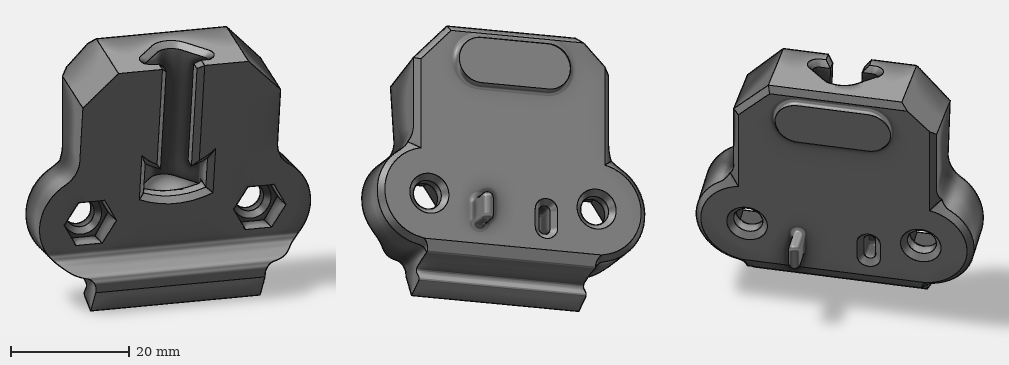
import cadquery as cq
import math

overall_width = 48.0
overall_height = 45.6
screw_spacing = 30.0
lobe_radius = (overall_width - screw_spacing) / 2
screw_y = screw_spacing / 2
chamfer = 1.0
chamfer_angle = 45

body_half_width = 17.5
body_fillet = 5.0
hook_fillet = 2.0
corner_cut = 6.0

lean = math.radians(10)
top_z = 30.0
front_x = 13.8
front_top_z = top_z - (front_x - chamfer) * math.tan(lean)
hook_round = 2.0
hook_small_round = 0.5

screw_bore = 5.0
nut_seat_x = 4.0
nut_width = 8.0

key_y = 6.0
key_z = -2.5
key_radius = 1.0
key_half_span = 1.5
key_length = 5.0

pad_z = 24.0
pad_radius = 4.0
pad_half_span = 6.0

pocket_wall = 3.0
ear_y = 4.5
ear_radius = 1.0
ear_back = pocket_wall + ear_radius
nose_back = 6.0
nose_radius = 3.0
slot_half_width = 2.75
window_center = 10.0
window_top_radius = 10.0
window_floor_radius = 15.0
window_half_width = ear_y + ear_radius

reach = 28.8
edge_search = 0.25


def down_front(z):
    """X of the leaning front plane at height z."""
    return front_x - (front_top_z - z) * math.tan(lean)


def both_sides(solid):
    """The solid together with its mirror image across the middle plane Y = 0."""
    return solid.union(solid.mirror("XZ"))


hook_root_z = -6.6
hook_root = (down_front(hook_root_z), hook_root_z)
hook_shoulder = (12.5, -8.75)
hook_heel = (12.0, -11.45)
hook_point = (9.1, top_z - overall_height)
hook_lip = (5.0, -13.75)
hook_notch = (7.05, -11.65)
underside_middle = (4.1, -10.7)
under_edge = (0.95, -10.15)

side_profile = (
    cq.Workplane("XZ")
    .moveTo(0, chamfer - lobe_radius)
    .lineTo(0, top_z - chamfer)
    .lineTo(chamfer, top_z)
    .lineTo(front_x, front_top_z)
    .lineTo(*hook_root)
    .lineTo(*hook_shoulder)
    .lineTo(*hook_heel)
    .lineTo(*hook_point)
    .lineTo(*hook_lip)
    .lineTo(*hook_notch)
    .threePointArc(underside_middle, under_edge)
    .close()
    .extrude(overall_width / 2, both=True)
)


def round_corner(solid, point, radius):
    """Round the edge along Y that passes through an (X, Z) point of the side profile."""
    x, z = point
    near = cq.selectors.BoxSelector(
        (x - edge_search, -reach, z - edge_search),
        (x + edge_search, reach, z + edge_search),
    )
    return solid.edges("|Y").edges(near).fillet(radius)


for corner_point in (hook_root, hook_shoulder):
    side_profile = round_corner(side_profile, corner_point, hook_round)
for corner_point in (hook_lip, hook_notch, under_edge):
    side_profile = round_corner(side_profile, corner_point, hook_small_round)


def chamfered_block(depth):
    """Block whose back side edges are cut at 45 degrees over the given depth."""
    inset = body_half_width - chamfer
    return (
        cq.Workplane("XY")
        .polyline([(0, -inset), (0, inset), (depth, inset + depth), (depth + reach, inset + depth),
                   (depth + reach, -inset - depth), (depth, -inset - depth)])
        .close()
        .extrude(top_z)
    )


def coned_lobe(depth):
    """Round lobe whose back edge is cut at 45 degrees over the given depth."""
    inset = lobe_radius - chamfer
    return (
        cq.Workplane("XY")
        .polyline([(0, 0), (0, inset), (depth, inset + depth),
                   (depth + reach, inset + depth), (depth + reach, 0)])
        .close()
        .revolve(360, (0, 0), (1, 0))
        .translate((0, screw_y, 0))
    )


def blend_center(wall_y, radius):
    """(Y, Z) center of the arc touching a wall at wall_y and the lobe above it."""
    center_y = wall_y + radius
    return center_y, math.sqrt((lobe_radius + radius) ** 2 - (center_y - screw_y) ** 2)


def web(wall_y, radius, up):
    """Concave blend between a wall at wall_y and the lobe, above it (up=1) or below (up=-1)."""
    center_y, center_z = blend_center(wall_y, radius)
    lobe_angle = math.atan2(center_z, center_y - screw_y) + math.pi
    middle_angle = (math.pi + lobe_angle) / 2

    def on_blend(angle):
        return (center_y + radius * math.cos(angle), up * (center_z + radius * math.sin(angle)))

    return (
        cq.Workplane("YZ")
        .moveTo(*on_blend(math.pi))
        .threePointArc(on_blend(middle_angle), on_blend(lobe_angle))
        .lineTo(screw_y, 0)
        .close()
        .extrude(reach)
    )


upper_web = web(body_half_width, body_fillet, 1)
upper_web = upper_web.intersect(chamfered_block(reach)).union(upper_web.intersect(coned_lobe(reach)))
hook_block = cq.Workplane("XY").box(reach, screw_spacing, reach, centered=(False, True, False))
hook_block = hook_block.translate((0, 0, -reach))

outline = (
    chamfered_block(chamfer)
    .union(hook_block)
    .union(both_sides(coned_lobe(chamfer)))
    .union(both_sides(upper_web))
    .union(both_sides(web(screw_y, hook_fillet, -1)))
)
body = outline.intersect(side_profile)

hook_blend_y, hook_blend_z = blend_center(screw_y, hook_fillet)
hook_blend_chamfer = (
    cq.Workplane("YZ")
    .center(hook_blend_y, -hook_blend_z)
    .circle(hook_fillet + chamfer)
    .extrude(chamfer, taper=chamfer_angle)
)
body = body.cut(both_sides(hook_blend_chamfer))


front_edge = (front_x, 0, front_top_z)
backward = (-math.cos(lean), 0, math.sin(lean))
downward = (-math.sin(lean), 0, -math.cos(lean))
front_plane = cq.Plane(origin=front_edge, xDir=downward, normal=backward)
top_plane = cq.Plane(origin=front_edge, xDir=backward, normal=downward)

corner = (
    cq.Workplane(front_plane)
    .polyline([(0, body_half_width - corner_cut), (corner_cut, body_half_width),
               (-corner_cut, body_half_width)])
    .close()
    .extrude(reach)
)
body = body.cut(both_sides(corner))

slope_foot_z = top_z - corner_cut / math.cos(lean)
slope_run = math.hypot(corner_cut, top_z - slope_foot_z)
slope_start = (chamfer, body_half_width - corner_cut, top_z)
slope_chamfer = (
    cq.Workplane(cq.Plane(origin=slope_start, xDir=(1, 0, 0),
                          normal=(0, corner_cut, slope_foot_z - top_z)))
    .polyline([(0, 0), (-2 * chamfer, 2 * chamfer), (-2 * chamfer, -2 * chamfer)])
    .close()
    .extrude(slope_run * 2, both=True)
)
body = body.cut(slope_chamfer)


def slot_outline(plane, length, grow):
    """Slot from above the body down to a given length along the plane."""
    half_slot = slot_half_width + grow
    return cq.Workplane(plane).moveTo((length - reach) / 2, 0).rect(length + reach, 2 * half_slot)


def pocket_outline(grow):
    """Pocket in the top face, as (distance behind the front plane, Y)."""
    wall = pocket_wall - grow
    ear = ear_radius + grow
    nose = nose_radius + grow
    span = math.hypot(nose_back - ear_back, ear_y)
    touch = math.acos((ear - nose) / span) - math.atan2(ear_y, nose_back - ear_back)

    def on_ear(angle):
        return (ear_back + ear * math.cos(angle), ear_y + ear * math.sin(angle))

    def mirrored(point):
        return (point[0], -point[1])

    ear_middle = on_ear((math.pi + touch) / 2)
    ear_end = on_ear(touch)
    nose_start = (nose_back + nose * math.cos(touch), nose * math.sin(touch))
    return (
        cq.Workplane(top_plane)
        .moveTo(wall, ear_y)
        .threePointArc(ear_middle, ear_end)
        .lineTo(*nose_start)
        .threePointArc((nose_back + nose, 0), mirrored(nose_start))
        .lineTo(*mirrored(ear_end))
        .threePointArc(mirrored(ear_middle), (wall, -ear_y))
        .close()
    )


def window_outline(grow):
    """Ring segment at the foot of the slot, as (distance down the front plane, Y)."""
    half_width = window_half_width + grow
    top_radius = window_top_radius - grow
    floor_radius = window_floor_radius + grow
    top_corner = window_center + math.sqrt(top_radius ** 2 - half_width ** 2)
    floor_corner = window_center + math.sqrt(floor_radius ** 2 - half_width ** 2)
    return (
        cq.Workplane(front_plane)
        .moveTo(top_corner, half_width)
        .lineTo(floor_corner, half_width)
        .threePointArc((window_center + floor_radius, 0), (floor_corner, -half_width))
        .lineTo(top_corner, -half_width)
        .threePointArc((window_center + top_radius, 0), (top_corner, half_width))
        .close()
    )


pocket_depth = window_center + window_floor_radius
slot_length = window_center + window_top_radius + chamfer
pocket_cuts = [
    pocket_outline(0).extrude(pocket_depth),
    window_outline(0).extrude(ear_back),
    slot_outline(front_plane, slot_length, 0).extrude(ear_back),
    pocket_outline(chamfer).extrude(chamfer, taper=chamfer_angle),
    slot_outline(top_plane, ear_back, chamfer).extrude(chamfer, taper=chamfer_angle),
    window_outline(chamfer).extrude(chamfer, taper=chamfer_angle),
    slot_outline(front_plane, slot_length, chamfer).extrude(chamfer, taper=chamfer_angle),
]
for pocket_cut in pocket_cuts:
    body = body.cut(pocket_cut)


nut_across_corners = 2 * nut_width / math.sqrt(3)
screw_profile = [
    (0, 0),
    (0, screw_bore / 2 + chamfer),
    (chamfer, screw_bore / 2),
    (nut_seat_x - chamfer, screw_bore / 2),
    (nut_seat_x, screw_bore / 2 + chamfer),
    (nut_seat_x, 0),
]
nut_recess = (
    cq.Workplane("YZ", origin=(nut_seat_x, 0, 0))
    .polygon(6, nut_across_corners)
    .extrude(reach)
)
screw_cut = (
    cq.Workplane("XY")
    .polyline(screw_profile)
    .close()
    .revolve(360, (0, 0), (1, 0))
    .union(nut_recess)
    .translate((0, screw_y, 0))
)
body = body.cut(both_sides(screw_cut))


def oblong(half_profile, half_span):
    """Sweep a half profile, drawn in XY from the X axis, around an oblong stretched along Z."""
    wire = half_profile.val()
    turned = cq.Workplane("XY").add(wire).toPending().revolve(360, (0, 0), (1, 0))
    straight = cq.Workplane("XY").add(wire).toPending().extrude(half_span, both=True)
    straight = both_sides(straight)
    return (
        straight
        .union(turned.translate((0, 0, half_span)))
        .union(turned.translate((0, 0, -half_span)))
    )


def arc_middle(center_x, center_y, sign_x, sign_y):
    """Middle of a quarter round of chamfer radius."""
    part = chamfer * math.sqrt(0.5)
    return (center_x + sign_x * part, center_y + sign_y * part)


def flared_foot(radius):
    """Start of a half profile that flares out to meet the back face in a concave round."""
    return (
        cq.Workplane("XY")
        .lineTo(0, radius + chamfer)
        .threePointArc(arc_middle(-chamfer, radius + chamfer, 1, -1), (-chamfer, radius))
    )


pad_profile = flared_foot(pad_radius).lineTo(-chamfer, 0).close()
pad = oblong(pad_profile, pad_half_span).rotate((0, 0, 0), (1, 0, 0), 90).translate((0, 0, pad_z))

pin_profile = (
    flared_foot(key_radius)
    .lineTo(chamfer - key_length, key_radius)
    .threePointArc(arc_middle(chamfer - key_length, 0, -1, 1), (-key_length, 0))
    .close()
)
pin = oblong(pin_profile, key_half_span).translate((0, key_y, key_z))

socket_profile = (
    cq.Workplane("XY")
    .lineTo(0, key_radius + chamfer)
    .lineTo(chamfer, key_radius)
    .lineTo(key_length - chamfer, key_radius)
    .threePointArc(arc_middle(key_length - chamfer, 0, 1, 1), (key_length, 0))
    .close()
)
socket = oblong(socket_profile, key_half_span).translate((0, -key_y, key_z))

result = body.union(pad).union(pin).cut(socket)